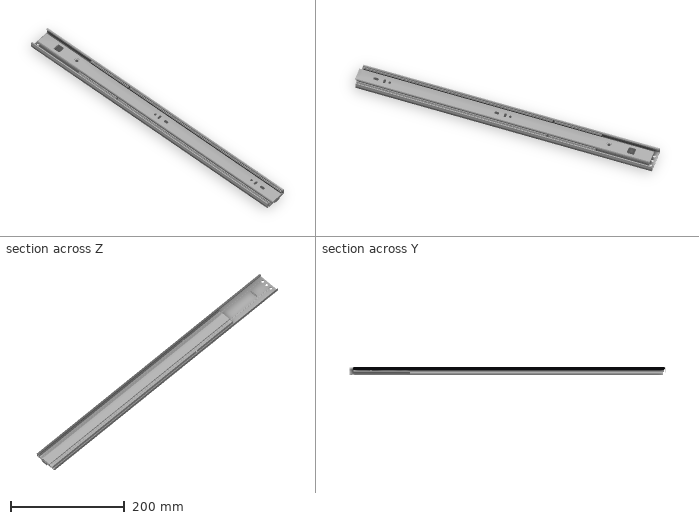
import cadquery as cq
import math


OVERALL_LENGTH = 554.0
OVERALL_WIDTH = 45.7
OVERALL_HEIGHT = 12.7
OUTER_LENGTH = 550.0
half_width = OVERALL_WIDTH / 2

OUTER_SHEET = 1.5
OUTER_WEB = 1.1
BULGE = 0.5
BULGE_BOTTOM_Z = 3.9
BULGE_TOP_Z = 9.0
FOOT_RADIUS = 2.2
CROWN_OUTER_Y = 21.6
CROWN_INNER_Y = 20.0
LIP_INNER_Y = 18.8
LIP_BEND_Z = 11.3
LIP_TIP_Z = 9.9
wall_y = half_width - BULGE
bulge_mid_z = (BULGE_BOTTOM_Z + BULGE_TOP_Z) / 2

WEB_HOLE_DIAMETER = 5.0
WEB_HOLE_X = 6.0
WEB_HOLE_PITCH = 10.0

MIDDLE_START_X = 106.0
MIDDLE_SHEET = 1.3
MIDDLE_FLOOR_Z = 2.3
MIDDLE_RAISED_Z = 4.4
MIDDLE_RAISED_HALF = 7.2
MIDDLE_HALF_WIDTH = 17.6
MIDDLE_TIP_Y = 16.9
MIDDLE_JOG_BOTTOM_Z = 10.2
MIDDLE_JOG_TOP_Z = 11.0
BEAD_Y = 14.6
BEAD_BOTTOM_Z = 10.4
BEAD_TOP_Z = 10.9
NOTCH_X = 195.3
NOTCH_WIDTH = 3.3

INNER_START_X = 7.0
INNER_FLANGE_END_X = 551.5
INNER_SHEET = 1.5
INNER_HALF_WIDTH = 12.9
INNER_SHOULDER_Y = 12.4
INNER_SHOULDER_Z = 11.0
INNER_TOP_HALF = 11.4
FLANGE_BEND_Z = 7.0
FLANGE_TIP_Y = 11.8
FLANGE_TIP_Z = 5.2

STOP_BOTTOM_Z = 4.0
STOP_HALF_WIDTH = 6.3
STOP_SHEET = 0.9
STOP_WING_DEPTH = 1.5

LATCH_START_X = 38.5
LATCH_END_X = 52.0
LATCH_HALF_WIDTH = 6.5
LATCH_TAB_HALF_WIDTH = 7.2
LATCH_TAB_BOTTOM_Z = 5.0
LATCH_CORNER = 3.0
RIVET_X = 87.0
RIVET_TOP_DIAMETER = 10.0
RIVET_DIAMETER = 5.6
RIVET_RECESS = 0.6
HOLE_SET_START_X = 270.0
HOLE_SET_PITCH = 224.0
SET_HOLE_DIAMETER = 4.6
CROSS_SLOT_OFFSET = 9.5
CROSS_SLOT_LENGTH = 8.4
CROSS_SLOT_WIDTH = 4.2
LONG_SLOT_OFFSET = 25.2
LONG_SLOT_LENGTHS = (8.4, 10.0)
LONG_SLOT_WIDTH = 5.0


def box_between(x_range, y_range, z_range):
    """Axis-aligned box given by its limits along X, Y and Z."""
    size = [end - start for start, end in (x_range, y_range, z_range)]
    return cq.Workplane("XY").box(*size, centered=False).translate((x_range[0], y_range[0], z_range[0]))


def section_plane(start_x):
    """Sketch plane whose axes are Y and Z, at the given X."""
    return cq.Workplane("YZ", origin=(start_x, 0, 0))


def mirrored_section(right_half, start_x, end_x):
    """Join a half section, drawn on the +Y side of Y = 0, to its mirror image."""
    half = right_half.extrude(end_x - start_x)
    return half.union(half.mirror("XZ"))


def make_outer_rail():
    """Wide channel with bulged side walls and lips turned in at the top."""
    inner_wall_y = wall_y - OUTER_SHEET
    lip_underside_z = OVERALL_HEIGHT - OUTER_SHEET
    foot_mid = FOOT_RADIUS * (1 - math.cos(math.radians(45)))
    half = (
        section_plane(0)
        .moveTo(0, 0)
        .lineTo(wall_y - FOOT_RADIUS, 0)
        .threePointArc((wall_y - foot_mid, foot_mid), (wall_y, FOOT_RADIUS))
        .lineTo(wall_y, BULGE_BOTTOM_Z)
        .threePointArc((half_width, bulge_mid_z), (wall_y, BULGE_TOP_Z))
        .lineTo(CROWN_OUTER_Y, OVERALL_HEIGHT)
        .lineTo(CROWN_INNER_Y, OVERALL_HEIGHT)
        .lineTo(LIP_INNER_Y, LIP_BEND_Z)
        .lineTo(LIP_INNER_Y, LIP_TIP_Z)
        .lineTo(CROWN_INNER_Y, lip_underside_z)
        .lineTo(CROWN_OUTER_Y - OUTER_SHEET, lip_underside_z)
        .lineTo(inner_wall_y, BULGE_TOP_Z)
        .threePointArc((inner_wall_y + BULGE, bulge_mid_z), (inner_wall_y, BULGE_BOTTOM_Z))
        .lineTo(inner_wall_y, OUTER_WEB)
        .lineTo(0, OUTER_WEB)
        .close()
    )
    rail = mirrored_section(half, 0, OUTER_LENGTH)
    holes = (
        cq.Workplane("XY")
        .pushPoints([(WEB_HOLE_X, row * WEB_HOLE_PITCH) for row in (-1, 0, 1)])
        .circle(WEB_HOLE_DIAMETER / 2)
        .extrude(OUTER_WEB)
    )
    return rail.cut(holes)


def make_middle_rail():
    """Channel with a raised centre web and side walls that carry an inward bead near the top."""
    floor_top_z = MIDDLE_FLOOR_Z + MIDDLE_SHEET
    raised_top_z = MIDDLE_RAISED_Z + MIDDLE_SHEET
    raised_outer_y = MIDDLE_RAISED_HALF + MIDDLE_SHEET
    wall_inner_y = MIDDLE_HALF_WIDTH - MIDDLE_SHEET
    tip_inner_y = MIDDLE_TIP_Y - MIDDLE_SHEET
    half = (
        section_plane(MIDDLE_START_X)
        .moveTo(0, MIDDLE_RAISED_Z)
        .lineTo(MIDDLE_RAISED_HALF, MIDDLE_RAISED_Z)
        .lineTo(MIDDLE_RAISED_HALF, MIDDLE_FLOOR_Z)
        .lineTo(MIDDLE_HALF_WIDTH, MIDDLE_FLOOR_Z)
        .lineTo(MIDDLE_HALF_WIDTH, MIDDLE_JOG_BOTTOM_Z)
        .lineTo(MIDDLE_TIP_Y, MIDDLE_JOG_TOP_Z)
        .lineTo(MIDDLE_TIP_Y, OVERALL_HEIGHT)
        .lineTo(tip_inner_y, OVERALL_HEIGHT)
        .lineTo(tip_inner_y, MIDDLE_JOG_TOP_Z)
        .lineTo(BEAD_Y, BEAD_TOP_Z)
        .lineTo(BEAD_Y, BEAD_BOTTOM_Z)
        .lineTo(wall_inner_y, MIDDLE_JOG_BOTTOM_Z)
        .lineTo(wall_inner_y, floor_top_z)
        .lineTo(raised_outer_y, floor_top_z)
        .lineTo(raised_outer_y, raised_top_z)
        .lineTo(0, raised_top_z)
        .close()
    )
    rail = mirrored_section(half, MIDDLE_START_X, OUTER_LENGTH)
    wall_notch = box_between(
        (NOTCH_X - NOTCH_WIDTH / 2, NOTCH_X + NOTCH_WIDTH / 2),
        (raised_outer_y, MIDDLE_HALF_WIDTH),
        (floor_top_z, OVERALL_HEIGHT),
    )
    return rail.cut(wall_notch).cut(wall_notch.mirror("XZ"))


def make_inner_profile():
    """Downward channel with sloping shoulders and flared flanges bent in at the bottom."""
    underside_z = OVERALL_HEIGHT - INNER_SHEET
    half = (
        section_plane(INNER_START_X)
        .moveTo(0, OVERALL_HEIGHT)
        .lineTo(INNER_TOP_HALF, OVERALL_HEIGHT)
        .lineTo(INNER_SHOULDER_Y, INNER_SHOULDER_Z)
        .lineTo(INNER_HALF_WIDTH, FLANGE_BEND_Z)
        .lineTo(FLANGE_TIP_Y, FLANGE_TIP_Z)
        .lineTo(FLANGE_TIP_Y - INNER_SHEET, FLANGE_TIP_Z)
        .lineTo(INNER_HALF_WIDTH - INNER_SHEET, FLANGE_BEND_Z)
        .lineTo(INNER_SHOULDER_Y - INNER_SHEET, INNER_SHOULDER_Z - INNER_SHEET / 2)
        .lineTo(INNER_TOP_HALF - INNER_SHEET / 2, underside_z)
        .lineTo(0, underside_z)
        .close()
    )
    return mirrored_section(half, INNER_START_X, INNER_FLANGE_END_X)


def make_end_stop():
    """Web tongue past the flanges, ending in a winged plate that is bent down."""
    plate_x = (OVERALL_LENGTH - STOP_SHEET, OVERALL_LENGTH)
    tongue = box_between(
        (INNER_FLANGE_END_X, OVERALL_LENGTH),
        (-INNER_TOP_HALF, INNER_TOP_HALF),
        (OVERALL_HEIGHT - INNER_SHEET, OVERALL_HEIGHT),
    )
    wings = box_between(
        plate_x,
        (-INNER_HALF_WIDTH, INNER_HALF_WIDTH),
        (OVERALL_HEIGHT - STOP_WING_DEPTH, OVERALL_HEIGHT),
    )
    plate = box_between(plate_x, (-STOP_HALF_WIDTH, STOP_HALF_WIDTH), (STOP_BOTTOM_Z, OVERALL_HEIGHT))
    return tongue.union(wings).union(plate)


def web_sketch():
    """Sketch plane on the underside of the inner web."""
    return cq.Workplane("XY", origin=(0, 0, OVERALL_HEIGHT - INNER_SHEET))


def make_latch_window():
    """Window with a straight side toward -X and rounded corners toward +X."""
    length = LATCH_END_X - LATCH_START_X
    return (
        web_sketch()
        .center((LATCH_START_X + LATCH_END_X) / 2, 0)
        .rect(length, 2 * LATCH_HALF_WIDTH)
        .extrude(INNER_SHEET)
        .edges("|Z and >X")
        .fillet(LATCH_CORNER)
    )


def make_latch_tab():
    """Tab bent down from the straight side of the latch window."""
    return box_between(
        (LATCH_START_X - INNER_SHEET, LATCH_START_X),
        (-LATCH_TAB_HALF_WIDTH, LATCH_TAB_HALF_WIDTH),
        (LATCH_TAB_BOTTOM_Z, OVERALL_HEIGHT),
    )


def make_rivet_hole():
    """Counterbored hole through the inner web."""
    through = web_sketch().center(RIVET_X, 0).circle(RIVET_DIAMETER / 2).extrude(INNER_SHEET)
    counterbore = (
        cq.Workplane("XY", origin=(RIVET_X, 0, OVERALL_HEIGHT - RIVET_RECESS))
        .circle(RIVET_TOP_DIAMETER / 2)
        .extrude(RIVET_RECESS)
    )
    return through.union(counterbore)


def make_hole_set(start_x, long_slot_length):
    """Round hole, crosswise slot and lengthwise slot in a row."""
    round_hole = web_sketch().center(start_x, 0).circle(SET_HOLE_DIAMETER / 2).extrude(INNER_SHEET)
    cross_slot = (
        web_sketch()
        .center(start_x + CROSS_SLOT_OFFSET, 0)
        .slot2D(CROSS_SLOT_LENGTH, CROSS_SLOT_WIDTH, 90)
        .extrude(INNER_SHEET)
    )
    long_slot = (
        web_sketch()
        .center(start_x + LONG_SLOT_OFFSET, 0)
        .slot2D(long_slot_length, LONG_SLOT_WIDTH)
        .extrude(INNER_SHEET)
    )
    return round_hole.union(cross_slot).union(long_slot)


def make_inner_rail():
    """Narrow rail with its end stop and the openings in its web."""
    rail = make_inner_profile().union(make_end_stop()).union(make_latch_tab())
    rail = rail.cut(make_latch_window()).cut(make_rivet_hole())
    for index, slot_length in enumerate(LONG_SLOT_LENGTHS):
        rail = rail.cut(make_hole_set(HOLE_SET_START_X + index * HOLE_SET_PITCH, slot_length))
    return rail


outer_rail = make_outer_rail()
middle_rail = make_middle_rail()
inner_rail = make_inner_rail()

result = cq.Compound.makeCompound([outer_rail.val(), middle_rail.val(), inner_rail.val()])